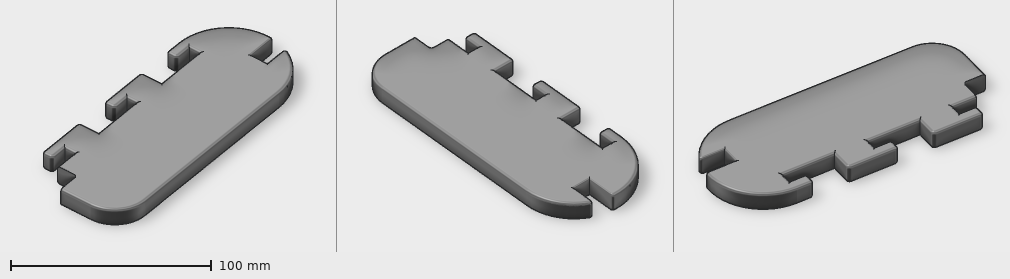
import cadquery as cq
import math

width = 64.0
length = 159.0
thickness = 11.0
head_radius = width / 2
head_center_y = length - head_radius
lower_corner_radius = 19.5
edge_radius = 2.0

hook_pitch = 50.0
hook_width = 6.9
hook_length = 9.9
slot_length = 30.0
slot_depths = [13.0, 12.5, 13.0]
slot_tops = [head_center_y - index * hook_pitch for index in range(len(slot_depths))]

notch_width = 25.5
notch_height = 13.2
notch_corner_radius = 2.0

head_slot_left = 34.7
head_slot_width = 10.3
head_slot_depth = 17.6
head_slot_edge_radius = 1.2

pick_margin = 0.1


def make_outline():
    """Plate outline with hooks and their slots; the last slot runs to the lower edge."""
    corner_center_x = width - lower_corner_radius
    diagonal = lower_corner_radius * math.sqrt(0.5)
    outline = (
        cq.Workplane("XY")
        .moveTo(slot_depths[-1], 0)
        .lineTo(corner_center_x, 0)
        .threePointArc(
            (corner_center_x + diagonal, lower_corner_radius - diagonal),
            (width, lower_corner_radius),
        )
        .lineTo(width, head_center_y)
        .threePointArc((head_radius, length), (0, head_center_y))
    )
    for slot_top, slot_depth in zip(slot_tops, slot_depths):
        tip_y = slot_top - hook_length
        outline = (
            outline.lineTo(0, tip_y)
            .lineTo(hook_width, tip_y)
            .lineTo(hook_width, slot_top)
            .lineTo(slot_depth, slot_top)
        )
        if slot_top != slot_tops[-1]:
            shoulder_y = slot_top - slot_length
            outline = outline.lineTo(slot_depth, shoulder_y).lineTo(0, shoulder_y)
    return outline.close()


def round_hook_corners(plate):
    """Round the upright corners of the hook tips and of the shoulders below them."""
    tips = [(x, top - hook_length) for top in slot_tops for x in (0, hook_width)]
    shoulders = [(0, top - slot_length) for top in slot_tops[:-1]]
    corner_edges = []
    for x, y in tips + shoulders:
        nearest = cq.selectors.NearestToPointSelector((x, y, thickness / 2))
        corner_edges += plate.edges("|Z").edges(nearest).vals()
    return plate.newObject(corner_edges).fillet(edge_radius)


def sharp_lower_edges(slot_top, slot_depth):
    """Selector of the lower edges along a hook's inner wall and its slot's closed end."""
    return cq.selectors.BoxSelector(
        (hook_width - pick_margin, slot_top - hook_length, -pick_margin),
        (slot_depth - pick_margin, slot_top + pick_margin, pick_margin),
    )


def round_rims(plate):
    """Round the whole upper rim, and the lower rim except inside the hooks."""
    plate = plate.faces(">Z").edges().fillet(edge_radius)
    rounded_edges = cq.selectors.StringSyntaxSelector("<Z")
    for slot_top, slot_depth in zip(slot_tops, slot_depths):
        rounded_edges = rounded_edges - sharp_lower_edges(slot_top, slot_depth)
    return plate.faces("<Z").edges(rounded_edges).fillet(edge_radius)


def cut_notch(plate):
    """Cut away the lower left corner, leaving a rounded inner corner."""
    cutter = (
        cq.Workplane("XY")
        .rect(2 * notch_width, 2 * notch_height)
        .extrude(thickness)
        .edges("|Z")
        .fillet(notch_corner_radius)
    )
    return plate.cut(cutter)


def cut_head_slot(plate):
    """Cut the open slot in the head and round its upper and lower rims."""
    bottom_y = length - head_slot_depth
    right_x = head_slot_left + head_slot_width
    cutter = (
        cq.Workplane("XY")
        .moveTo(head_slot_left, bottom_y)
        .lineTo(right_x, bottom_y)
        .lineTo(right_x, length)
        .lineTo(head_slot_left, length)
        .close()
        .extrude(thickness)
    )
    rim = cq.selectors.BoxSelector(
        (head_slot_left - pick_margin, bottom_y - pick_margin, -pick_margin),
        (right_x + pick_margin, length, thickness + pick_margin),
    )
    return plate.cut(cutter).faces("<Z or >Z").edges(rim).fillet(head_slot_edge_radius)


plate = make_outline().extrude(thickness)
plate = round_hook_corners(plate)
plate = round_rims(plate)
plate = cut_notch(plate)
result = cut_head_slot(plate)